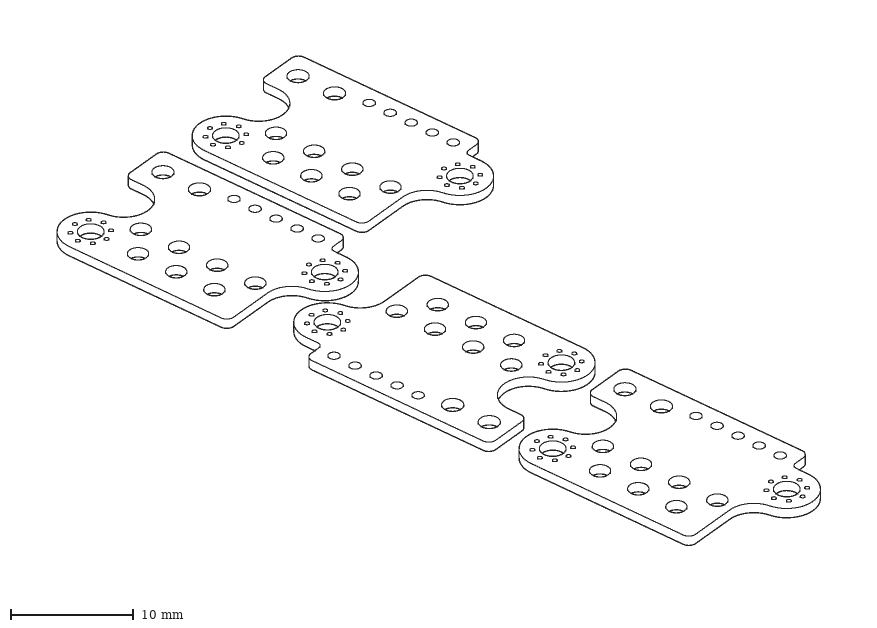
import cadquery as cq
import math

BOARD_WIDTH = 23.9
BOARD_HEIGHT = 15.35
THICKNESS = 0.95
BODY_RIGHT = 19.4
LOBE_RADIUS = 2.75
BLEND_RADIUS = 2.5
CORNER_RADIUS = 0.7
EAR_CORNER_RADIUS = 0.5

LOBE_CENTER = (LOBE_RADIUS, LOBE_RADIUS)
EAR_CENTER = (BOARD_WIDTH - LOBE_RADIUS, 10.35)
HORN_HOLE_DIAMETER = 2.2
RING_HOLE_DIAMETER = 0.4
RING_RADIUS = 1.7
RING_HOLE_COUNT = 8

PAIR_COUNT = 2
PAIR_DIAMETER = 1.8
PAIR_FIRST_X = 2.0
PAIR_PITCH = 3.85
PAIR_Y = 12.95

PIN_DIAMETER = 1.0
PIN_COUNT = 5
PIN_FIRST_X = 8.9
PIN_LAST_X = 17.75
PIN_Y = 13.7

GRID_DIAMETER = 1.75
GRID_UPPER_COUNT = 4
GRID_FIRST_X = 5.7
GRID_LAST_X = 17.75
GRID_UPPER_Y = 5.6
GRID_LOWER_Y = LOBE_CENTER[1]

ROW_PITCH = 17.45
LAST_BOARD_X = 48.5
FLIPPED_BOARD_RIGHT = 46.9


def point_between(start, end, distance):
    """Point on the line from start to end, at the given distance from start."""
    ratio = distance / math.dist(start, end)
    return (start[0] + ratio * (end[0] - start[0]), start[1] + ratio * (end[1] - start[1]))


def point_on_circle(center, radius, degrees):
    angle = math.radians(degrees)
    return (center[0] + radius * math.cos(angle), center[1] + radius * math.sin(angle))


def board_blank():
    """Plate with the lobe, the ear and the two hollow arcs, and rounded corners."""
    hollow_x = BODY_RIGHT + BLEND_RADIUS
    hollow_drop = math.sqrt((LOBE_RADIUS + BLEND_RADIUS) ** 2 - (hollow_x - EAR_CENTER[0]) ** 2)
    hollow_center = (hollow_x, EAR_CENTER[1] - hollow_drop)
    ear_tangent = point_between(EAR_CENTER, hollow_center, LOBE_RADIUS)

    notch_center = (
        LOBE_CENTER[0] + EAR_CENTER[0] - hollow_center[0],
        LOBE_CENTER[1] + EAR_CENTER[1] - hollow_center[1],
    )
    notch_top = notch_center[1] + BLEND_RADIUS
    notch_right = notch_center[0] + BLEND_RADIUS
    lobe_tangent = point_between(LOBE_CENTER, notch_center, LOBE_RADIUS)
    ear_top = EAR_CENTER[1] + LOBE_RADIUS

    blank = (
        cq.Workplane("XY")
        .moveTo(LOBE_CENTER[0], 0)
        .lineTo(BODY_RIGHT, 0)
        .lineTo(BODY_RIGHT, hollow_center[1])
        .threePointArc(point_on_circle(hollow_center, BLEND_RADIUS, 135), ear_tangent)
        .threePointArc((BOARD_WIDTH, EAR_CENTER[1]), (EAR_CENTER[0], ear_top))
        .lineTo(BODY_RIGHT, ear_top)
        .lineTo(BODY_RIGHT, BOARD_HEIGHT)
        .lineTo(0, BOARD_HEIGHT)
        .lineTo(0, notch_top)
        .lineTo(notch_center[0], notch_top)
        .threePointArc((notch_right, notch_center[1]), lobe_tangent)
        .threePointArc((0, LOBE_CENTER[1]), (LOBE_CENTER[0], 0))
        .close()
        .extrude(THICKNESS)
    )

    outer_corners = [(BODY_RIGHT, 0), (BODY_RIGHT, BOARD_HEIGHT), (0, BOARD_HEIGHT), (0, notch_top)]
    for x, y in outer_corners:
        blank = round_corner(blank, x, y, CORNER_RADIUS)
    return round_corner(blank, BODY_RIGHT, ear_top, EAR_CORNER_RADIUS)


def round_corner(plate, x, y, radius):
    """Fillet the upright edge nearest to (x, y)."""
    corner = cq.selectors.NearestToPointSelector((x, y, THICKNESS / 2))
    return plate.edges("|Z").edges(corner).fillet(radius)


def drill(plate, centers, diameter):
    holes = cq.Workplane("XY").pushPoints(centers).circle(diameter / 2).extrude(THICKNESS)
    return plate.cut(holes)


def drill_horn_pattern(plate, center):
    """Centre hole with a ring of tiny holes around it."""
    ring = [
        point_on_circle(center, RING_RADIUS, 360 * i / RING_HOLE_COUNT)
        for i in range(RING_HOLE_COUNT)
    ]
    plate = drill(plate, [center], HORN_HOLE_DIAMETER)
    return drill(plate, ring, RING_HOLE_DIAMETER)


def make_board():
    board = board_blank()
    for center in (LOBE_CENTER, EAR_CENTER):
        board = drill_horn_pattern(board, center)

    pair = [(PAIR_FIRST_X + i * PAIR_PITCH, PAIR_Y) for i in range(PAIR_COUNT)]
    board = drill(board, pair, PAIR_DIAMETER)

    pin_pitch = (PIN_LAST_X - PIN_FIRST_X) / (PIN_COUNT - 1)
    pins = [(PIN_FIRST_X + i * pin_pitch, PIN_Y) for i in range(PIN_COUNT)]
    board = drill(board, pins, PIN_DIAMETER)

    grid_pitch = (GRID_LAST_X - GRID_FIRST_X) / (GRID_UPPER_COUNT - 1)
    upper = [(GRID_FIRST_X + i * grid_pitch, GRID_UPPER_Y) for i in range(GRID_UPPER_COUNT)]
    lower = [
        (GRID_FIRST_X + (i + 0.5) * grid_pitch, GRID_LOWER_Y)
        for i in range(GRID_UPPER_COUNT - 1)
    ]
    return drill(board, upper + lower, GRID_DIAMETER)


placements = [
    ((0, 0), 0),
    ((0, ROW_PITCH), 0),
    ((FLIPPED_BOARD_RIGHT, BOARD_HEIGHT), 180),
    ((LAST_BOARD_X, 0), 0),
]

boards = []
for (board_x, board_y), turn in placements:
    board = make_board().rotate((0, 0, 0), (0, 0, 1), turn).translate((board_x, board_y, 0))
    boards.append(board.val())

result = cq.Compound.makeCompound(boards)